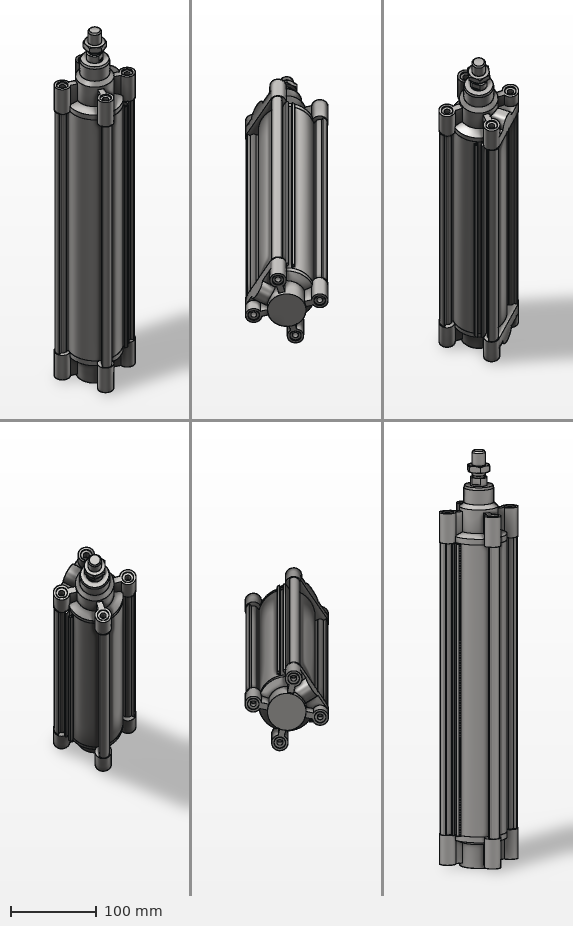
import cadquery as cq
import math

TOTAL_LENGTH = 495.5
SPIGOT_LENGTH = 4.5
CAP_LENGTH = 35.5
BARREL_END_Z = 389.5
COLLAR_LENGTH = 4.0
NECK_CONE_LENGTH = 5.0
NECK_END_Z = 454.0
NECK_RIM_LENGTH = 3.0
FLAT_START_Z = 456.0
FLAT_END_Z = 463.5
THREAD_START_Z = 466.0
NUT_START_Z = 470.5

POST_SPACING = 56.5
POST_DIAMETER = 19.5
WEB_WIDTH = 7.5
CORE_DIAMETER = 45.0
FLANGE_DIAMETER = 66.5
FLANGE_LENGTH = 7.0
FLANGE_CONE_HEIGHT = 4.5
NECK_DIAMETER = 35.0
NECK_RIM_STEP = 1.0

RECESS_DIAMETER = 13.5
RECESS_DEPTH = 2.0
THREAD_HOLE_DIAMETER = 7.0
THREAD_HOLE_DEPTH = 15.0

PORT_DIAMETER = 25.5
PORT_OFFSET_X = 4.0
PORT_BLOCK_START_Y = 19.5
PORT_CENTER_HEIGHT = 18.0

BARREL_DIAMETER = 66.5
LOBE_DIAMETER = 10.0
LOBE_ROOT = 23.0
LOBE_FACE = 36.5
LOBE_CORNER_RADIUS = 7.5
LOBE_STEP = 27.5
LOWER_LIP = [
    (-29.5, 10.5), (-34.0, 10.5), (-34.5, 9.0), (-36.5, 11.0), (-36.5, 14.0), (-35.0, 14.0), (-34.5, 12.0), (-29.5, 12.0),
]
UPPER_LIP = [(-25.0, 17.5), (-34.0, 17.5), (-35.0, 19.0), (-34.0, 21.0), (-25.0, 21.0)]

ROD_DIAMETER = 20.0
ROD_FLATS = 17.0
THREAD_DIAMETER = 16.0
THREAD_CHAMFER_LENGTH = 2.0
THREAD_CHAMFER_DEPTH = 1.5
UNDERCUT_DIAMETER = 14.5
NUT_FLATS = 24.5
NUT_LENGTH = 8.0
NUT_CHAMFER_DIAMETER = 24.5
NUT_CHAMFER_LENGTH = 1.0

MAIN_AXIS = (0, 0, 0), (0, 0, 1)
REAR_CAP_END_Z = SPIGOT_LENGTH + CAP_LENGTH
BARREL_LENGTH = BARREL_END_Z - REAR_CAP_END_Z
HALF_SPACING = POST_SPACING / 2
CORNERS = [(sx * HALF_SPACING, sy * HALF_SPACING) for sx in (-1, 1) for sy in (-1, 1)]
CAP_HALF_WIDTH = HALF_SPACING + POST_DIAMETER / 2


def cylinder(diameter, start_z, end_z, x=0.0, y=0.0):
    """Upright cylinder between two heights."""
    return cq.Workplane("XY", origin=(x, y, start_z)).circle(diameter / 2).extrude(end_z - start_z)


def cone(start_diameter, end_diameter, start_z, length):
    """Upright truncated cone on the main axis."""
    solid = cq.Solid.makeCone(start_diameter / 2, end_diameter / 2, length, cq.Vector(0, 0, start_z))
    return cq.Workplane(obj=solid)


def corner_webs():
    """Two crossed bars, one per diagonal, that tie a cap's core to its corner posts."""
    reach = math.hypot(HALF_SPACING, HALF_SPACING)
    bar = cq.Workplane("XY").rect(2 * reach, WEB_WIDTH).extrude(CAP_LENGTH)
    return bar.rotate(*MAIN_AXIS, 45).union(bar.rotate(*MAIN_AXIS, -45))


def port_block():
    """Half-round port boss standing on a flat-topped block, flush with the +Y side."""
    block = (
        cq.Workplane("XY", origin=(0, (PORT_BLOCK_START_Y + CAP_HALF_WIDTH) / 2, 0))
        .rect(POST_SPACING, CAP_HALF_WIDTH - PORT_BLOCK_START_Y)
        .extrude(PORT_CENTER_HEIGHT)
    )
    boss = (
        cq.Workplane("XZ", origin=(PORT_OFFSET_X, 0, PORT_CENTER_HEIGHT))
        .circle(PORT_DIAMETER / 2)
        .extrude(-CAP_HALF_WIDTH)
    )
    return block.union(boss)


def cap_casting(core_length):
    """End cap body standing on z = 0, its barrel face, with the screw recesses in its upper end."""
    cap = cylinder(CORE_DIAMETER, 0, core_length)
    cap = cap.union(cylinder(FLANGE_DIAMETER, 0, FLANGE_LENGTH))
    cap = cap.union(cone(FLANGE_DIAMETER, CORE_DIAMETER, FLANGE_LENGTH, FLANGE_CONE_HEIGHT))
    cap = cap.union(corner_webs())
    cap = cap.union(port_block())
    for x, y in CORNERS:
        cap = cap.union(cylinder(POST_DIAMETER, 0, CAP_LENGTH, x, y))
    for x, y in CORNERS:
        cap = cap.cut(cylinder(RECESS_DIAMETER, CAP_LENGTH - RECESS_DEPTH, CAP_LENGTH, x, y))
        cap = cap.cut(cylinder(THREAD_HOLE_DIAMETER, CAP_LENGTH - THREAD_HOLE_DEPTH, CAP_LENGTH, x, y))
    return cap


def make_rear_cap():
    """Rear cap: the casting turned upside down, with a short spigot at the rear end."""
    return cap_casting(REAR_CAP_END_Z).mirror("XY").translate((0, 0, REAR_CAP_END_Z))


def make_front_cap():
    """Front cap: the casting with a collar and a rod neck, bored through for the rod."""
    core_length = CAP_LENGTH + COLLAR_LENGTH
    collar_end = BARREL_END_Z + core_length
    rim_start = NECK_END_Z - NECK_RIM_LENGTH
    cap = cap_casting(core_length).translate((0, 0, BARREL_END_Z))
    cap = cap.union(cone(CORE_DIAMETER, NECK_DIAMETER, collar_end, NECK_CONE_LENGTH))
    cap = cap.union(cylinder(NECK_DIAMETER, collar_end, rim_start))
    cap = cap.union(cone(NECK_DIAMETER, NECK_DIAMETER - 2 * NECK_RIM_STEP, rim_start, NECK_RIM_LENGTH))
    return cap.cut(cylinder(ROD_DIAMETER, BARREL_END_Z, NECK_END_Z))


def square_bar(inner, outer):
    """Square bar along the barrel in the -X -Y corner, between two distances from the axis."""
    middle = -(inner + outer) / 2
    return (
        cq.Workplane("XY", origin=(middle, middle, REAR_CAP_END_Z))
        .rect(outer - inner, outer - inner)
        .extrude(BARREL_LENGTH)
    )


def corner_lobe():
    """Barrel corner lobe at -X -Y: a round-nosed rib with a thicker, rounded outer corner."""
    rib = cylinder(LOBE_DIAMETER, REAR_CAP_END_Z, BARREL_END_Z, -HALF_SPACING, -HALF_SPACING)
    root = square_bar(LOBE_ROOT, HALF_SPACING)
    outer_corner = square_bar(LOBE_STEP, LOBE_FACE).edges("|Z").edges("<XY").fillet(LOBE_CORNER_RADIUS)
    return rib.union(root).union(outer_corner)


def slot_lip(outline):
    """Lip along the barrel on the -X side with the given cross-section."""
    section = cq.Workplane("XY", origin=(0, 0, REAR_CAP_END_Z)).polyline(outline).close()
    return section.extrude(BARREL_LENGTH)


def make_barrel():
    """Profile barrel: round body, four corner lobes and a sensor slot on each X side."""
    barrel = cylinder(BARREL_DIAMETER, REAR_CAP_END_Z, BARREL_END_Z)
    lobe = corner_lobe()
    for angle in (0, 90, 180, 270):
        barrel = barrel.union(lobe.rotate(*MAIN_AXIS, angle))
    for outline in (LOWER_LIP, UPPER_LIP):
        lip = slot_lip(outline)
        barrel = barrel.union(lip).union(lip.mirror("YZ"))
    return barrel


def make_rod():
    """Piston rod with wrench flats, an undercut and a threaded end."""
    rod = cylinder(ROD_DIAMETER, BARREL_END_Z, FLAT_START_Z)
    flats = (
        cq.Workplane("XY", origin=(0, 0, FLAT_START_Z))
        .rect(ROD_FLATS, ROD_DIAMETER)
        .extrude(FLAT_END_Z - FLAT_START_Z)
        .intersect(cylinder(ROD_DIAMETER, FLAT_START_Z, FLAT_END_Z))
    )
    undercut = cylinder(UNDERCUT_DIAMETER, FLAT_END_Z, THREAD_START_Z)
    thread = cylinder(THREAD_DIAMETER, THREAD_START_Z, TOTAL_LENGTH)
    thread = thread.faces(">Z").edges().chamfer(THREAD_CHAMFER_LENGTH, THREAD_CHAMFER_DEPTH)
    return rod.union(flats).union(undercut).union(thread)


def make_nut():
    """Hexagonal lock nut with two corners on the Y axis, its corners chamfered at both ends."""
    nut_end = NUT_START_Z + NUT_LENGTH
    corner_diameter = NUT_FLATS / math.cos(math.radians(30))
    chamfer_depth = (corner_diameter - NUT_CHAMFER_DIAMETER) / 2
    hexagon = (
        cq.Workplane("XY", origin=(0, 0, NUT_START_Z))
        .polygon(6, corner_diameter)
        .extrude(NUT_LENGTH)
        .rotate(*MAIN_AXIS, 30)
    )
    blank = cylinder(corner_diameter, NUT_START_Z, nut_end)
    blank = blank.faces("<Z or >Z").edges().chamfer(NUT_CHAMFER_LENGTH, chamfer_depth)
    return hexagon.intersect(blank).cut(cylinder(THREAD_DIAMETER, NUT_START_Z, nut_end))


rear_cap = make_rear_cap()
front_cap = make_front_cap()
barrel = make_barrel()
rod = make_rod()
nut = make_nut()

result = cq.Compound.makeCompound([rear_cap.val(), front_cap.val(), barrel.val(), rod.val(), nut.val()])